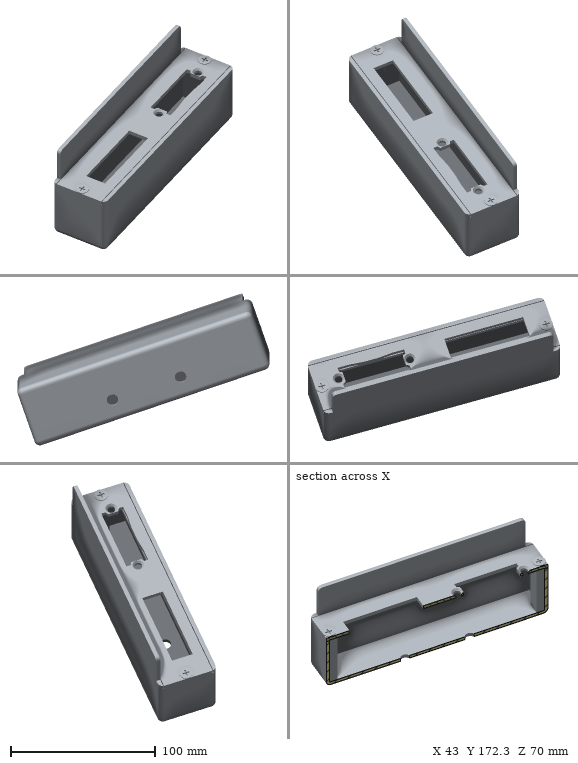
import cadquery as cq

overall_length = 172.3
housing_length = 172.0
housing_width = 43.0
housing_height = 45.0
overall_height = 70.0
wall = 3.0
edge_radius = 4.0

plate_length = 160.2
plate_corner_radius = 3.0

lid_thickness = 3.1
lid_gap = 0.5
lid_width = housing_width - 2 * (wall + lid_gap)
seat_z = housing_height - lid_thickness

head_diameter = 9.3
head_rise = 0.5
shank_diameter = 5.0
cone_height = (head_diameter - shank_diameter) / 2
screw_depth = 13.8
screw_y = (overall_length - head_diameter) / 2
recess_length = 5.0
recess_width = 1.0
recess_depth = 1.0
recess_core_diameter = 2.0
recess_core_depth = 0.7
recess_core_taper = 45.0

post_width = 9.0
post_inner_y = screw_y - post_width / 2

floor_hole_diameter = 8.0
floor_hole_x = 6.5
floor_hole_y = 25.0

shelf_thickness = wall
shelf_gap = 1.4
shelf_edge_x = 10.7

opening_x = 2.5
plain_opening_width = 15.3
plain_opening_length = 57.2
plain_opening_y = -39.3
bowed_opening_width = 16.2
bowed_opening_length = 48.2
bowed_opening_y = 42.5
bow_length = 31.0
bow = 1.0

lug_depth = 2.2
lug_root_width = 10.0
lug_tip_width = 7.5
lid_hole_spacing = 51.9
lid_hole_diameter = 5.3
lid_hole_rim_diameter = 8.0
lid_hole_sink = (lid_hole_rim_diameter - lid_hole_diameter) / 2


def block(width, length, bottom, top):
    """Box centred on the Z axis between two heights."""
    return cq.Workplane("XY").workplane(offset=bottom).rect(width, length).extrude(top - bottom)


def rounded_block():
    """Outer form of the closed box: rounded upright corners and bottom edges."""
    body = block(housing_width, housing_length, 0, housing_height)
    return body.edges("|Z").fillet(edge_radius).faces("<Z").edges().fillet(edge_radius)


def make_back_plate():
    plate = (
        cq.Workplane("YZ")
        .workplane(offset=-housing_width / 2)
        .center(0, (seat_z + overall_height) / 2)
        .rect(plate_length, overall_height - seat_z)
        .extrude(wall)
    )
    return plate.edges("|X and >Z").fillet(plate_corner_radius)


def make_housing():
    inner_width = housing_width - 2 * wall
    cavity = block(inner_width, housing_length - 2 * wall, wall, seat_z)
    lid_bay = block(inner_width, overall_length, seat_z, housing_height)
    housing = rounded_block().cut(cavity).cut(lid_bay).union(make_back_plate())

    shelf_width = housing_width / 2 - wall / 2 - shelf_edge_x
    shelf_top = seat_z - shelf_gap
    shelf = block(shelf_width, housing_length - wall, shelf_top - shelf_thickness, shelf_top)
    housing = housing.union(shelf.translate((shelf_edge_x + shelf_width / 2, 0, 0)))

    post_length = housing_length / 2 - wall / 2 - post_inner_y
    for side in (-1, 1):
        post = block(post_width, post_length, wall / 2, seat_z)
        post = post.translate((0, side * (post_inner_y + post_length / 2), 0))
        housing = housing.union(post)

    floor_holes = (
        cq.Workplane("XY")
        .pushPoints([(floor_hole_x, -floor_hole_y), (floor_hole_x, floor_hole_y)])
        .circle(floor_hole_diameter / 2)
        .extrude(2 * wall)
    )
    return housing.cut(floor_holes)


def bowed_opening():
    """Cutter with one side bowed inwards and a lug left at each end."""
    half_width = bowed_opening_width / 2
    half_length = bowed_opening_length / 2
    root = lug_root_width / 2
    tip = lug_tip_width / 2
    lug_y = half_length - lug_depth
    return (
        cq.Workplane("XY")
        .workplane(offset=seat_z)
        .center(opening_x, bowed_opening_y)
        .moveTo(-half_width, -half_length)
        .lineTo(-root, -half_length)
        .lineTo(-tip, -lug_y)
        .lineTo(tip, -lug_y)
        .lineTo(root, -half_length)
        .lineTo(half_width, -half_length)
        .lineTo(half_width, -bow_length / 2)
        .threePointArc((half_width - bow, 0), (half_width, bow_length / 2))
        .lineTo(half_width, half_length)
        .lineTo(root, half_length)
        .lineTo(tip, lug_y)
        .lineTo(-tip, lug_y)
        .lineTo(-root, half_length)
        .lineTo(-half_width, half_length)
        .close()
        .extrude(lid_thickness)
    )


def sunk_hole(y):
    """Cutter for one countersunk hole of the lid."""
    bore = lid_hole_diameter / 2
    rim = lid_hole_rim_diameter / 2
    return (
        cq.Workplane("XZ")
        .moveTo(0, seat_z)
        .lineTo(bore, seat_z)
        .lineTo(bore, housing_height - lid_hole_sink)
        .lineTo(rim, housing_height)
        .lineTo(0, housing_height)
        .close()
        .revolve(360, (0, 0, 0), (0, 1, 0))
        .translate((opening_x, y, 0))
    )


def make_lid():
    strip = block(lid_width, overall_length, seat_z, housing_height)
    plain_opening = block(plain_opening_width, plain_opening_length, seat_z, housing_height)
    plain_opening = plain_opening.translate((opening_x, plain_opening_y, 0))
    lid = strip.intersect(rounded_block()).cut(plain_opening).cut(bowed_opening())
    for side in (-1, 1):
        lid = lid.cut(sunk_hole(bowed_opening_y + side * lid_hole_spacing / 2))
    return lid


def screw_blank(side):
    """Solid of revolution of a screw: disc, cone and shank."""
    head = head_diameter / 2
    shank = shank_diameter / 2
    head_top = housing_height + head_rise
    return (
        cq.Workplane("XZ")
        .moveTo(0, head_top)
        .lineTo(head, head_top)
        .lineTo(head, housing_height)
        .lineTo(shank, housing_height - cone_height)
        .lineTo(shank, housing_height - screw_depth)
        .lineTo(0, housing_height - screw_depth)
        .close()
        .revolve(360, (0, 0, 0), (0, 1, 0))
        .translate((0, side * screw_y, 0))
    )


def make_screw(side):
    """Screw with a cross recess and a small conical core in its head."""
    top = housing_height + head_rise
    bottom = top - recess_depth
    cross = block(recess_length, recess_width, bottom, top)
    cross = cross.union(block(recess_width, recess_length, bottom, top))
    core = cq.Workplane("XY").workplane(offset=bottom).circle(recess_core_diameter / 2)
    core = core.extrude(-recess_core_depth, taper=recess_core_taper)
    cross = cross.union(core)
    return screw_blank(side).cut(cross.translate((0, side * screw_y, 0)))


housing = make_housing()
lid = make_lid()
screws = []
for end in (-1, 1):
    housing = housing.cut(screw_blank(end))
    lid = lid.cut(screw_blank(end))
    screws.append(make_screw(end).val())

result = cq.Compound.makeCompound([housing.val(), lid.val(), *screws])